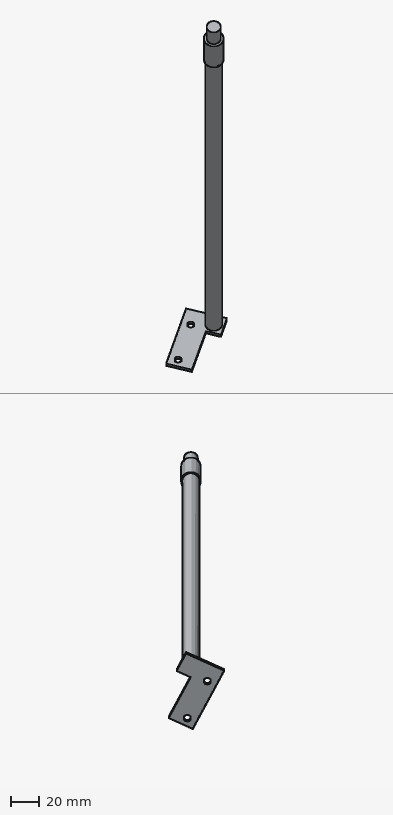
import cadquery as cq

total_height = 357.5

plate_width = 30.0
plate_length = 50.0
plate_thickness = 3.0
leg_width = 19.0
tab_length = 15.0

hole_diameter = 5.0
hole_x = 7.0
first_hole_from_back = 12.5
hole_spacing = 32.0

rod_diameter = 12.0
collar_diameter = 14.0
spigot_diameter = 10.0
collar_height = 25.0
spigot_height = 14.0
rod_x = plate_width - tab_length / 2
rod_y = plate_length - tab_length / 2

spigot_base = total_height - spigot_height
collar_base = spigot_base - collar_height


def make_plate():
    """L-shaped plate with its front left bottom corner at the origin."""
    tab_front = plate_length - tab_length
    outline = [
        (0, 0),
        (leg_width, 0),
        (leg_width, tab_front),
        (plate_width, tab_front),
        (plate_width, plate_length),
        (0, plate_length),
    ]
    first_hole_y = plate_length - first_hole_from_back
    hole_centers = [(hole_x, first_hole_y), (hole_x, first_hole_y - hole_spacing)]
    plate = cq.Workplane("XY").polyline(outline).close().extrude(plate_thickness)
    holes = cq.Workplane("XY").pushPoints(hole_centers).circle(hole_diameter / 2).extrude(plate_thickness)
    return plate.cut(holes)


def rod_section(diameter, bottom, top):
    """Cylinder on the rod axis between two heights."""
    return (
        cq.Workplane("XY", origin=(rod_x, rod_y, bottom))
        .circle(diameter / 2)
        .extrude(top - bottom)
    )


result = (
    make_plate()
    .union(rod_section(rod_diameter, plate_thickness, collar_base))
    .union(rod_section(collar_diameter, collar_base, spigot_base))
    .union(rod_section(spigot_diameter, spigot_base, total_height))
)